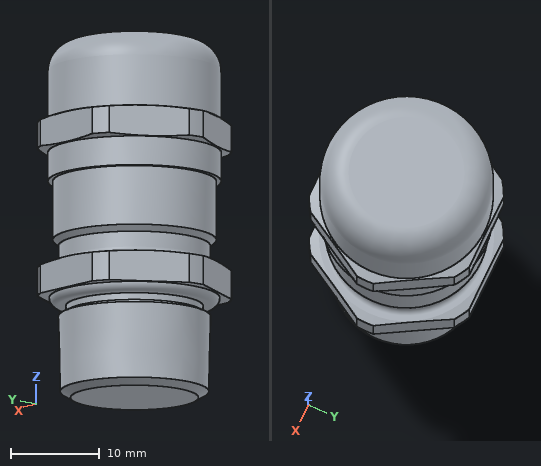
import cadquery as cq
import math

total_height = 40.85
hex_across_flats = 20.0
hex_across_corners = 22.0

thread_bottom_radius = 8.4
thread_top_radius = 8.62
thread_start_z = 0.7
thread_top_z = 9.35
entry_chamfer_width = 1.2
relief_radius = 7.75
relief_bottom_z = 9.75

collar_radius = 9.65
collar_bottom_z = 10.55

lower_hex_bottom_z = 11.5
lower_hex_top_z = 15.05
upper_hex_bottom_z = 28.2
upper_hex_top_z = 31.75
hex_face_radius = 9.9
hex_chamfer_drop = 0.25
collar_round = lower_hex_bottom_z - collar_bottom_z

neck_radius = 17.15 / 2
neck_fillet = 0.65
body_radius = 18.5 / 2
body_bottom_z = 18.15
body_chamfer = body_radius - neck_radius
cap_radius = 19.6 / 2
cap_bottom_z = 24.9
cap_round = 3.25


def corner_arc_point(center_r, center_z, radius, degrees):
    """Point on an arc in the radius-height plane."""
    angle = math.radians(degrees)
    return center_r + radius * math.cos(angle), center_z + radius * math.sin(angle)


def turned_body():
    """Revolved profile of the thread, collar, neck, body and domed cap."""
    collar_arc_mid = corner_arc_point(
        collar_radius - collar_round, collar_bottom_z + collar_round, collar_round, -45
    )
    neck_arc_mid = corner_arc_point(
        neck_radius + neck_fillet, lower_hex_top_z + neck_fillet, neck_fillet, 225
    )
    cap_arc_mid = corner_arc_point(cap_radius - cap_round, total_height - cap_round, cap_round, 45)
    profile = (
        cq.Workplane("XZ")
        .lineTo(thread_bottom_radius - entry_chamfer_width, 0)
        .lineTo(thread_bottom_radius, thread_start_z)
        .lineTo(thread_top_radius, thread_top_z)
        .lineTo(relief_radius, relief_bottom_z)
        .lineTo(relief_radius, collar_bottom_z)
        .lineTo(collar_radius - collar_round, collar_bottom_z)
        .threePointArc(collar_arc_mid, (collar_radius, collar_bottom_z + collar_round))
        .lineTo(collar_radius, lower_hex_top_z)
        .lineTo(neck_radius + neck_fillet, lower_hex_top_z)
        .threePointArc(neck_arc_mid, (neck_radius, lower_hex_top_z + neck_fillet))
        .lineTo(neck_radius, body_bottom_z - body_chamfer)
        .lineTo(body_radius, body_bottom_z)
        .lineTo(body_radius, cap_bottom_z)
        .lineTo(cap_radius, cap_bottom_z)
        .lineTo(cap_radius, total_height - cap_round)
        .threePointArc(cap_arc_mid, (cap_radius - cap_round, total_height))
        .lineTo(0, total_height)
        .close()
    )
    return profile.revolve(360, (0, 0, 0), (0, 1, 0))


def hexagon(bottom_z, top_z, chamfer_bottom):
    """Hexagon with corners on X, turned to a cylinder with conical chamfers."""
    sharp_corner_diameter = hex_across_flats / math.cos(math.pi / 6)
    prism = (
        cq.Workplane("XY")
        .workplane(offset=bottom_z)
        .polygon(6, sharp_corner_diameter)
        .extrude(top_z - bottom_z)
    )
    corner_radius = hex_across_corners / 2
    outline = [(0, bottom_z)]
    if chamfer_bottom:
        outline.append((hex_face_radius, bottom_z))
        outline.append((corner_radius, bottom_z + hex_chamfer_drop))
    else:
        outline.append((corner_radius, bottom_z))
    outline += [
        (corner_radius, top_z - hex_chamfer_drop),
        (hex_face_radius, top_z),
        (0, top_z),
    ]
    turned_blank = (
        cq.Workplane("XZ").polyline(outline).close().revolve(360, (0, 0, 0), (0, 1, 0))
    )
    return prism.intersect(turned_blank)


lower_hexagon = hexagon(lower_hex_bottom_z, lower_hex_top_z, chamfer_bottom=False)
upper_hexagon = hexagon(upper_hex_bottom_z, upper_hex_top_z, chamfer_bottom=True)

result = turned_body().union(lower_hexagon).union(upper_hexagon)